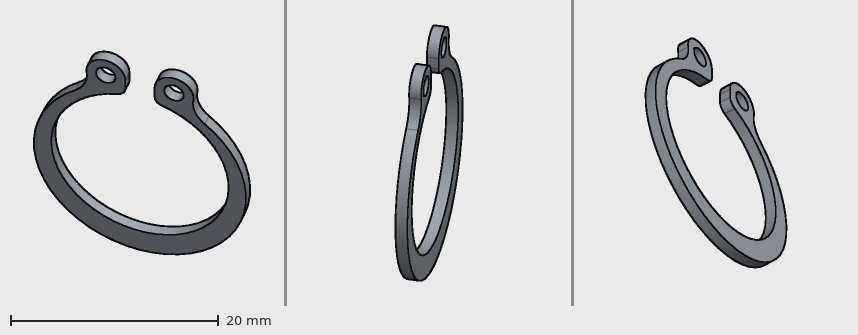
import cadquery as cq
import math

THICKNESS = 1.2
BORE_RADIUS = 9.1
OUTER_RADIUS = 10.9
BOTTOM_WIDTH = 2.6
GAP = 3.0
LUG_RADIUS = 2.0
LUG_HEIGHT = 10.975
HOLE_DIAMETER = 2.0
NECK_RADIUS = 3.0
TIP_RADIUS = 1.0

BACK_FACE = (0, THICKNESS / 2, 0)

OUTER_CENTER = (0.0, OUTER_RADIUS - BORE_RADIUS - BOTTOM_WIDTH)
LUG_CENTER = (GAP / 2 + LUG_RADIUS, LUG_HEIGHT)


def point_toward(start, end, distance):
    """Point at a given distance from start on the line to end."""
    share = distance / math.dist(start, end)
    return (start[0] + share * (end[0] - start[0]), start[1] + share * (end[1] - start[1]))


def arc_middle(center, start, end, radius):
    """Middle of the minor arc from start to end."""
    chord_middle = ((start[0] + end[0]) / 2, (start[1] + end[1]) / 2)
    return point_toward(center, chord_middle, radius)


def mirrored(point):
    return (-point[0], point[1])


def neck_center():
    """Center of the blend circle that touches the right lug and the outer rim from outside."""
    to_lug = LUG_RADIUS + NECK_RADIUS
    to_rim = OUTER_RADIUS + NECK_RADIUS
    span = math.dist(OUTER_CENTER, LUG_CENTER)
    lug_direction = math.atan2(LUG_CENTER[1] - OUTER_CENTER[1], LUG_CENTER[0] - OUTER_CENTER[0])
    opening = math.acos((to_rim**2 + span**2 - to_lug**2) / (2 * to_rim * span))
    angle = lug_direction - opening
    return (
        OUTER_CENTER[0] + to_rim * math.cos(angle),
        OUTER_CENTER[1] + to_rim * math.sin(angle),
    )


def ring_body():
    """Ring with both lugs, traced from the right end of the bore around the outside."""
    tip_x = GAP / 2 + TIP_RADIUS
    tip_center = (tip_x, math.sqrt((BORE_RADIUS + TIP_RADIUS) ** 2 - tip_x**2))
    neck = neck_center()

    bore_end = point_toward((0, 0), tip_center, BORE_RADIUS)
    face_bottom = (GAP / 2, tip_center[1])
    face_top = (GAP / 2, LUG_HEIGHT)
    lug_top = (LUG_CENTER[0], LUG_HEIGHT + LUG_RADIUS)
    lug_end = point_toward(LUG_CENTER, neck, LUG_RADIUS)
    rim_end = point_toward(OUTER_CENTER, neck, OUTER_RADIUS)
    tip_middle = arc_middle(tip_center, bore_end, face_bottom, TIP_RADIUS)
    neck_middle = arc_middle(neck, lug_end, rim_end, NECK_RADIUS)
    rim_bottom = (0, OUTER_CENTER[1] - OUTER_RADIUS)
    bore_bottom = (0, -BORE_RADIUS)

    outline = (
        cq.Workplane("XZ", origin=BACK_FACE)
        .moveTo(*bore_end)
        .threePointArc(tip_middle, face_bottom)
        .lineTo(*face_top)
        .threePointArc(lug_top, lug_end)
        .threePointArc(neck_middle, rim_end)
        .threePointArc(rim_bottom, mirrored(rim_end))
        .threePointArc(mirrored(neck_middle), mirrored(lug_end))
        .threePointArc(mirrored(lug_top), mirrored(face_top))
        .lineTo(*mirrored(face_bottom))
        .threePointArc(mirrored(tip_middle), mirrored(bore_end))
        .threePointArc(bore_bottom, bore_end)
        .close()
    )
    return outline.extrude(THICKNESS)


def lug_holes():
    """Plier holes through both lugs."""
    return (
        cq.Workplane("XZ", origin=BACK_FACE)
        .pushPoints([LUG_CENTER, mirrored(LUG_CENTER)])
        .circle(HOLE_DIAMETER / 2)
        .extrude(THICKNESS)
    )


result = ring_body().cut(lug_holes())